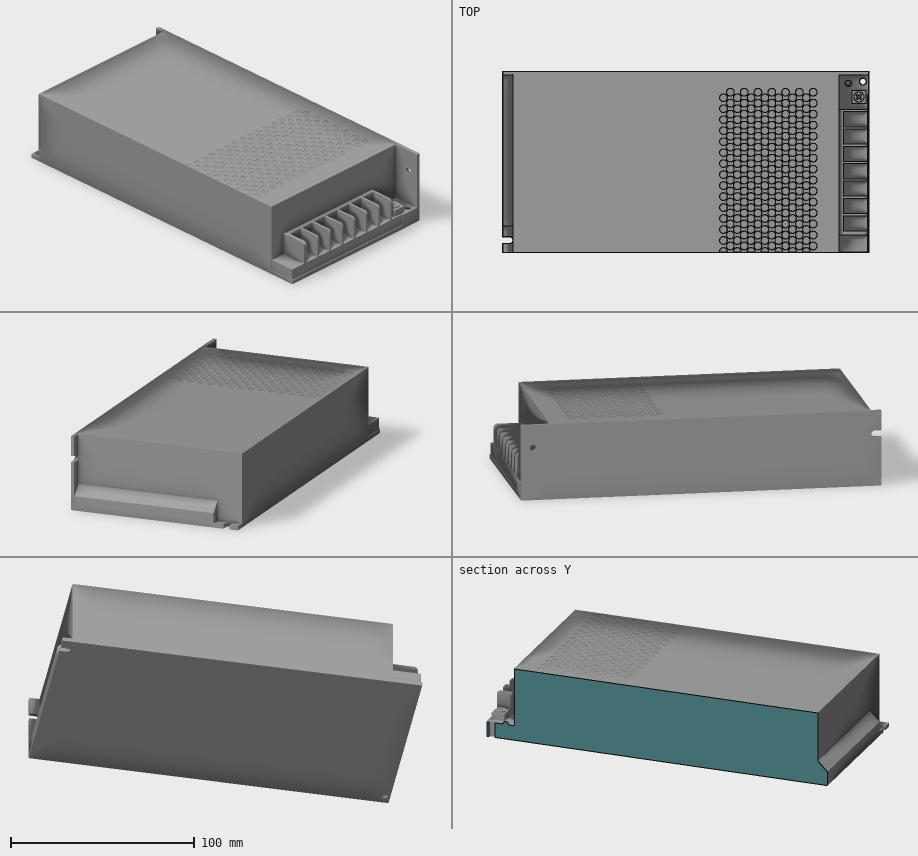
import cadquery as cq


LENGTH = 200.0
WIDTH = 99.0
HEIGHT = 42.2

BASE_THICKNESS = 2.5
SIDE_THICKNESS = 2.0
BODY_START = 5.5
BODY_END = 183.8
INNER_WIDTH = WIDTH - SIDE_THICKNESS

MOUNT_DIAMETER = 3.5
MOUNT_HEIGHT = 29.2
SIDE_HOLE_X = 193.5
BASE_HOLE_X = 196.8
BASE_HOLE_Y = 93.5
BASE_SLOT_Y = 6.8
SLOT_END_X = 5.5

REAR_BAR_START = 14.5
REAR_BAR_TOP = 13.8

VENT_DIAMETER = 4.2
VENT_DEPTH = 0.2
VENT_COLUMNS = 14
VENT_ROWS = 15
VENT_FIRST_X = 120.5
VENT_LAST_X = 169.5
VENT_COLUMN_PITCH = (VENT_LAST_X - VENT_FIRST_X) / (VENT_COLUMNS - 1)
VENT_ROW_PITCH = 6.0
VENT_FIRST_Y = 0.5
LID_RIM = 0.5

SHELF_END = 199.5
SHELF_TOP = 8.8
SHELF_START_Y = 0.5
SHELF_LIP_Y = 86.2

BLOCK_START_Y = 9.5
BLOCK_END_Y = 78.2
BLOCK_TOP = 21.5
BLOCK_EDGE_RADIUS = 2.0
CELL_COUNT = 7
CELL_START_X = 186.2
NEAR_WALL = 2.2
DIVIDER = 1.2

TRIMMER_X = 194.5
TRIMMER_Y = 85.0
TRIMMER_LENGTH = 7.5
TRIMMER_WIDTH = 7.0
TRIMMER_HEIGHT = 4.0
DIAL_DIAMETER = 5.5
DIAL_HEIGHT = 1.0
CROSS_LENGTH = 3.5
CROSS_WIDTH = 0.8
CROSS_DEPTH = 0.5
LAMP_X = 188.8
LAMP_Y = 92.5
LAMP_DIAMETER = 3.5


def block(x_range, y_range, z_range):
    """Box between the given limits on each axis."""
    (x0, x1), (y0, y1), (z0, z1) = x_range, y_range, z_range
    return cq.Workplane("XY").box(x1 - x0, y1 - y0, z1 - z0, centered=False).translate((x0, y0, z0))


def make_chassis():
    """Base plate, full-length side plate and the closed body."""
    base = block((0, LENGTH), (0, WIDTH), (0, BASE_THICKNESS))
    side = block((0, LENGTH), (INNER_WIDTH, WIDTH), (0, HEIGHT))
    body = block((BODY_START, BODY_END), (0, WIDTH), (0, HEIGHT))
    return base.union(side).union(body)


def make_rear_bar():
    """Bar behind the body whose top slopes down to the rear at 45 degrees."""
    slope_foot = REAR_BAR_TOP - BODY_START
    profile = [(0, 0), (BODY_START, 0), (BODY_START, REAR_BAR_TOP), (0, slope_foot)]
    bar = cq.Workplane("XZ").polyline(profile).close().extrude(-(INNER_WIDTH - REAR_BAR_START))
    return bar.translate((0, REAR_BAR_START, 0))


def make_shelf():
    """Shelf under the terminals, reaching the chassis edge beside the side plate."""
    shelf = block((BODY_END, SHELF_END), (SHELF_START_Y, INNER_WIDTH), (0, SHELF_TOP))
    lip = block((SHELF_END, LENGTH), (SHELF_LIP_Y, INNER_WIDTH), (0, SHELF_TOP))
    return shelf.union(lip)


def make_terminal_block():
    """Raised block with a rounded outer edge and a row of cells open to the end and top."""
    terminals = block((BODY_END, SHELF_END), (BLOCK_START_Y, BLOCK_END_Y), (SHELF_TOP, BLOCK_TOP))
    terminals = terminals.edges(">X and >Z").fillet(BLOCK_EDGE_RADIUS)
    first_cell = BLOCK_START_Y + NEAR_WALL
    pitch = (BLOCK_END_Y - first_cell) / CELL_COUNT
    for index in range(CELL_COUNT):
        start = first_cell + index * pitch
        cell = block((CELL_START_X, SHELF_END), (start, start + pitch - DIVIDER), (SHELF_TOP, BLOCK_TOP))
        terminals = terminals.cut(cell)
    return terminals


def make_trimmer():
    """Square trimmer with a round dial and a diagonal cross slot."""
    dial_top = TRIMMER_HEIGHT + DIAL_HEIGHT
    trimmer = cq.Workplane("XY").rect(TRIMMER_LENGTH, TRIMMER_WIDTH).extrude(TRIMMER_HEIGHT)
    trimmer = trimmer.union(cq.Workplane("XY").circle(DIAL_DIAMETER / 2).extrude(dial_top))
    for angle in (45, 135):
        arm = cq.Workplane("XY").rect(CROSS_LENGTH, CROSS_WIDTH).extrude(CROSS_DEPTH)
        arm = arm.rotate((0, 0, 0), (0, 0, 1), angle)
        trimmer = trimmer.cut(arm.translate((0, 0, dial_top - CROSS_DEPTH)))
    return trimmer.translate((TRIMMER_X, TRIMMER_Y, SHELF_TOP))


def make_lamp():
    """Domed lamp sitting half sunk in the shelf."""
    return cq.Workplane("XY").sphere(LAMP_DIAMETER / 2).translate((LAMP_X, LAMP_Y, SHELF_TOP))


def make_mounting_cutters():
    """Round holes and round-ended open slots through the chassis lips."""
    half = MOUNT_DIAMETER / 2
    side_hole = cq.Workplane("XZ").center(SIDE_HOLE_X, MOUNT_HEIGHT).circle(half).extrude(-WIDTH)
    side_hole = side_hole.intersect(block((0, LENGTH), (INNER_WIDTH, WIDTH), (0, HEIGHT)))
    base_hole = cq.Workplane("XY").center(BASE_HOLE_X, BASE_HOLE_Y).circle(half).extrude(SHELF_TOP)
    base_slot = cq.Workplane("XY").center(SLOT_END_X - half, BASE_SLOT_Y).circle(half).extrude(BASE_THICKNESS)
    base_slot = base_slot.union(
        block((0, SLOT_END_X - half), (BASE_SLOT_Y - half, BASE_SLOT_Y + half), (0, BASE_THICKNESS))
    )
    side_slot = base_slot.translate((0, -BASE_SLOT_Y, 0)).rotate((0, 0, 0), (1, 0, 0), 90)
    side_slot = side_slot.translate((0, WIDTH, MOUNT_HEIGHT))
    return [side_hole, base_hole, side_slot, base_slot]


def make_vents():
    """Staggered recesses; the near row of every other column is cut short at the lid rim."""
    centers = []
    for column in range(VENT_COLUMNS):
        stagger = (column % 2) * VENT_ROW_PITCH / 2
        for row in range(VENT_ROWS):
            x = VENT_FIRST_X + column * VENT_COLUMN_PITCH
            centers.append((x, VENT_FIRST_Y + stagger + row * VENT_ROW_PITCH))
    vents = cq.Workplane("XY").workplane(offset=HEIGHT - VENT_DEPTH)
    vents = vents.pushPoints(centers).circle(VENT_DIAMETER / 2).extrude(VENT_DEPTH)
    return vents.intersect(block((0, LENGTH), (LID_RIM, WIDTH), (0, HEIGHT)))


result = make_chassis()
for feature in (make_rear_bar(), make_shelf(), make_terminal_block(), make_trimmer(), make_lamp()):
    result = result.union(feature)
for cutter in make_mounting_cutters():
    result = result.cut(cutter)
result = result.cut(make_vents())